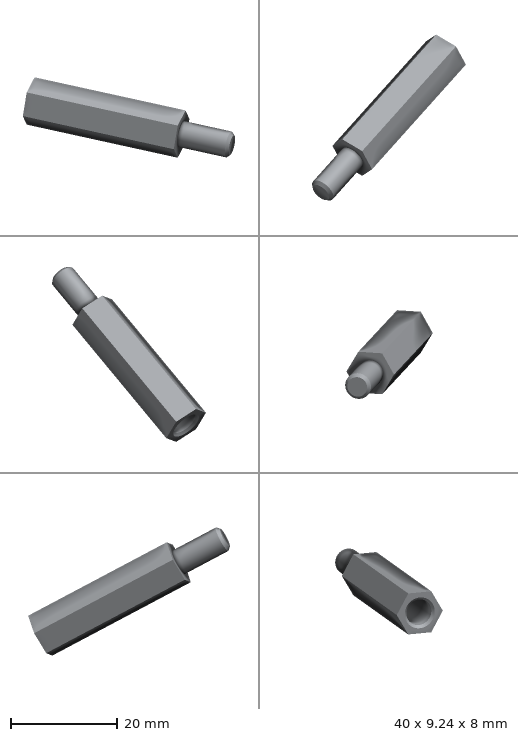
import cadquery as cq
import math

overall_length = 40.0
stud_length = 10.0
body_length = overall_length - stud_length
hex_sides = 6
across_flats = 8.0
across_corners = across_flats / math.cos(math.pi / hex_sides)

thread_diameter = 5.0
stud_chamfer = 0.6

bore_depth = 12.0
countersink_diameter = 6.0
countersink_depth = (countersink_diameter - thread_diameter) / 2

body_start_x = -overall_length / 2
body_end_x = body_start_x + body_length


def cross_section(x):
    """Sketch plane square to the long axis, local x along +Y and local y along +Z."""
    return cq.Workplane("YZ", origin=(x, 0, 0))


def make_body():
    """Hexagonal body with flats on top and bottom and corners along Y."""
    return cross_section(body_start_x).polygon(hex_sides, across_corners).extrude(body_length)


def make_stud():
    """Round stud with a chamfered tip."""
    stud = cross_section(body_end_x).circle(thread_diameter / 2).extrude(stud_length)
    return stud.faces(">X").chamfer(stud_chamfer)


def make_bore():
    """Flat-bottomed bore with a countersunk mouth, as a cutting solid."""
    bore = cross_section(body_start_x).circle(thread_diameter / 2).extrude(bore_depth)
    countersink = cq.Solid.makeCone(
        countersink_diameter / 2,
        thread_diameter / 2,
        countersink_depth,
        pnt=cq.Vector(body_start_x, 0, 0),
        dir=cq.Vector(1, 0, 0),
    )
    return bore.union(cq.Workplane(countersink))


result = make_body().union(make_stud()).cut(make_bore())